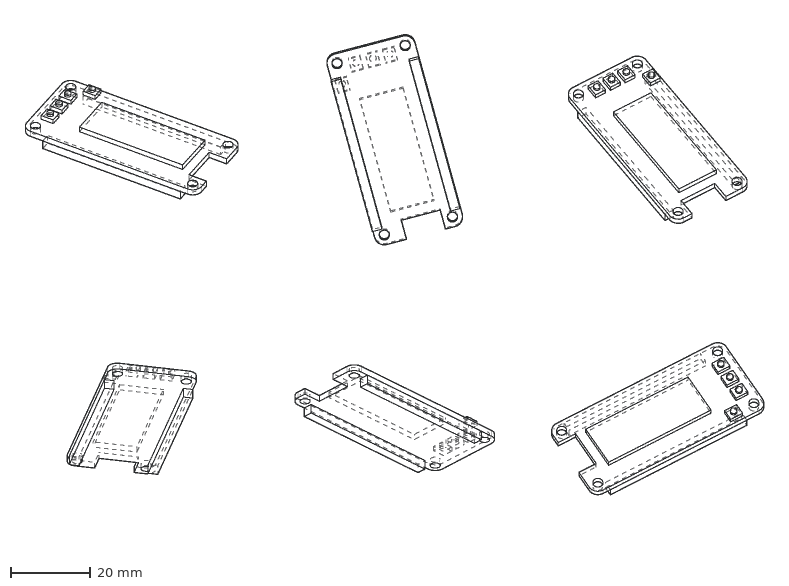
import cadquery as cq

PITCH = 2.54
BOARD_LENGTH = 20 * PITCH
BOARD_WIDTH = 9 * PITCH
BOARD_THICKNESS = 1.7
CORNER_RADIUS = PITCH
HOLE_DIAMETER = 2.54
HOLE_INSET = PITCH

NOTCH_DEPTH = 2 * PITCH
NOTCH_WIDTH = 4 * PITCH
NOTCH_CENTER_Y = -PITCH / 2

BUTTON_LENGTH = 3.5
BUTTON_WIDTH = 3.0
BUTTON_HEIGHT = 1.2
CAP_DIAMETER = 1.7
CAP_HEIGHT = 0.6
BUTTON_SPACING = 4.45
BUTTON_ROW_X = -21.15
SIDE_BUTTON_CENTER = (-16.8, 9.15)

DISPLAY_LENGTH = 30.0
DISPLAY_WIDTH = 11.3
DISPLAY_HEIGHT = 1.5
DISPLAY_CENTER = (2.9, 0.25)

HEADER_LENGTH = 40.0
HEADER_WIDTH = 2.5
HEADER_HEIGHT = 2.5
HEADER_CENTER_X = 0.7


def block(length, width, height, center, base_z):
    """Rectangular block standing on base_z, centred in plan on center."""
    return (
        cq.Workplane("XY", origin=(center[0], center[1], base_z))
        .box(length, width, height, centered=(True, True, False))
    )


def make_button(center):
    """Square-edged button case with a round cap on top, seated on the board."""
    case = block(BUTTON_LENGTH, BUTTON_WIDTH, BUTTON_HEIGHT, center, BOARD_THICKNESS)
    return case.faces(">Z").workplane().circle(CAP_DIAMETER / 2).extrude(CAP_HEIGHT)


def make_board():
    """Rounded circuit board with corner holes, edge notch and its four buttons."""
    board = block(BOARD_LENGTH, BOARD_WIDTH, BOARD_THICKNESS, (0, 0), 0)
    board = board.edges("|Z").fillet(CORNER_RADIUS)

    hole_spacing_x = BOARD_LENGTH - 2 * HOLE_INSET
    hole_spacing_y = BOARD_WIDTH - 2 * HOLE_INSET
    board = (
        board.faces(">Z").workplane()
        .rect(hole_spacing_x, hole_spacing_y, forConstruction=True)
        .vertices()
        .hole(HOLE_DIAMETER)
    )

    notch_center = ((BOARD_LENGTH - NOTCH_DEPTH) / 2, NOTCH_CENTER_Y)
    board = board.cut(block(NOTCH_DEPTH, NOTCH_WIDTH, BOARD_THICKNESS, notch_center, 0))

    row_centers = [(BUTTON_ROW_X, step * BUTTON_SPACING) for step in (-1, 0, 1)]
    for center in row_centers + [SIDE_BUTTON_CENTER]:
        board = board.union(make_button(center))
    return board


def make_display():
    """Flat display panel resting on the board."""
    return block(DISPLAY_LENGTH, DISPLAY_WIDTH, DISPLAY_HEIGHT, DISPLAY_CENTER, BOARD_THICKNESS)


def make_header(side):
    """Header strip below the board, flush with the long edge on the given side (-1 or +1)."""
    center = (HEADER_CENTER_X, side * (BOARD_WIDTH - HEADER_WIDTH) / 2)
    return block(HEADER_LENGTH, HEADER_WIDTH, HEADER_HEIGHT, center, -HEADER_HEIGHT)


board = make_board()
display = make_display()
headers = [make_header(side) for side in (-1, 1)]

result = cq.Compound.makeCompound(
    [board.val(), display.val(), *[header.val() for header in headers]]
)